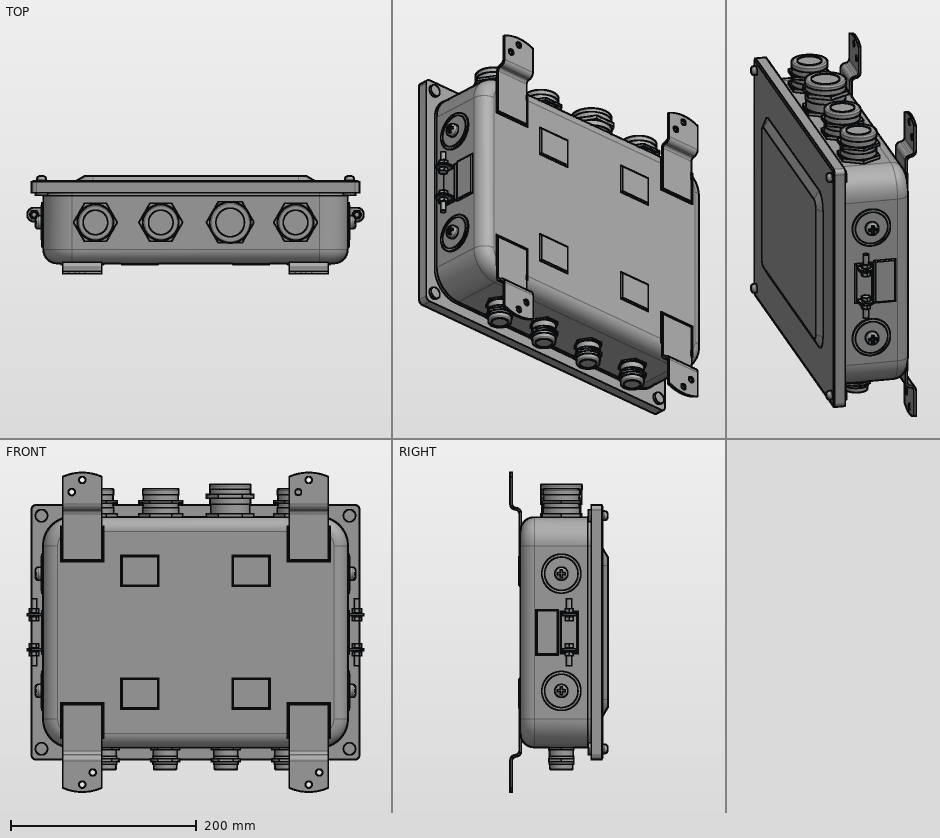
import cadquery as cq
import math

BODY_X, BODY_Z = 328.0, 248.3
BODY_BACK, BODY_FRONT = 34.5, -41.7
BODY_CORNER_R, BODY_EDGE_R = 31.0, 15.2
RIM_LIP, RIM_H = 0.5, 3.3

LID_X, LID_Z, LID_T = 353.5, 274.5, 12.7
LID_CORNER_R = 5.0
LID_EDGE_H = 2.5
LID_EDGE_INSET = 1.0
LID_TOP = BODY_BACK + LID_T

Y_MAX = 52.8
PANEL_X, PANEL_Z, PANEL_CORNER_R = 257.7, 180.8, 18.0
PANEL_INSET = 9.8

LID_BOLT_X, LID_BOLT_Z = 166.0, 125.5
LID_BOLT_HEAD_D, LID_BOLT_HEAD_H = 10.0, 5.5
LID_NUT_D, LID_NUT_H = 13.0, 3.0

BRACKET_X = 122.0
BRACKET_W, BRACKET_T = 42.0, 2.5
BRACKET_LOW, BRACKET_TIP, BRACKET_SHOULDER = 78.0, 172.25, 167.7
BRACKET_IN_Y, BRACKET_OUT_Y = -40.47, -50.28
JOGGLE_LOW, JOGGLE_HIGH = 131.8, 134.3
BEND_R = 3.8
BRACKET_HOLE_D = 7.0
TIP_HOLE_Z = 164.0
SIDE_HOLE_X, SIDE_HOLE_Z = -11.3, 151.0
WELD_W, WELD_H, WELD_TOP = 2.0, 1.0, 114.0

PAD_X, PAD_Z, PAD_W, PAD_H = 60.0, 66.0, 41.0, 33.5
PAD_T, PAD_BEVEL = 1.5, 1.5

GLAND_Y = 2.5
GLAND_EDGE_R, MOUTH_DEPTH = 1.8, 0.7
DISC_Z, DISC_D, DISC_T = 63.0, 42.0, 1.5
DISC_FACE_D, DISC_FACE_T = 36.0, 1.8
SCREW_D, SCREW_TOP, SCREW_EDGE_R = 14.0, 8.5, 3.3
CROSS_L, CROSS_W, CROSS_DEPTH = 8.7, 2.0, 2.0
NAMEPLATE_Y, NAMEPLATE_W, NAMEPLATE_H = -12.7, 24.5, 49.0
EARTH_Y = 11.0
EARTH_BASE_W, EARTH_BASE_H = 19.5, 45.7
EAR_Z, EAR_T, EAR_R, EAR_X = 19.0, 2.0, 7.5, 174.0
STUD_D, STUD_TOP, STUD_LOW = 5.8, 36.3, 12.5
STUD_NUT_D, STUD_NUT_H = 10.0, 4.5


def plate_xz(width, height, y_from, y_to):
    """Rectangular block centred on the Y axis."""
    return cq.Workplane("XY").box(width, abs(y_to - y_from), height).translate((0, (y_from + y_to) / 2, 0))


def rod_y(diameter, y_from, y_to):
    """Cylinder on the Y axis that runs in +Y from y_from."""
    return cq.Workplane("XZ", origin=(0, y_from, 0)).circle(diameter / 2).extrude(y_from - y_to)


def rod_z(diameter, z_from, z_to):
    return cq.Workplane("XY", origin=(0, 0, z_from)).circle(diameter / 2).extrude(z_to - z_from)


def hex_z(corners, z_from, z_to):
    return cq.Workplane("XY", origin=(0, 0, z_from)).polygon(6, corners).extrude(z_to - z_from)


def bevelled_plate(plane, width, height):
    """Thin plate with sloped sides that stands on the given plane."""
    slope = math.degrees(math.atan(PAD_BEVEL / PAD_T))
    return cq.Workplane(plane).rect(width, height).extrude(PAD_T, taper=slope)


def quadrants(shape, x, z):
    """Copies of a shape at the four corners of a rectangle."""
    return [shape.translate((sx * x, 0, sz * z)) for sx in (-1, 1) for sz in (-1, 1)]


def make_body():
    body = plate_xz(BODY_X, BODY_Z, BODY_FRONT, BODY_BACK)
    body = body.edges("|Y").fillet(BODY_CORNER_R).faces("<Y").edges().fillet(BODY_EDGE_R)
    rim = plate_xz(BODY_X + 2 * RIM_LIP, BODY_Z + 2 * RIM_LIP, BODY_BACK - RIM_H, BODY_BACK)
    return body.union(rim.edges("|Y").fillet(BODY_CORNER_R + RIM_LIP))


def make_lid():
    lid = plate_xz(LID_X, LID_Z, BODY_BACK, LID_TOP).edges("|Y").fillet(LID_CORNER_R)
    lid = lid.faces(">Y").chamfer(LID_EDGE_H, LID_EDGE_INSET)
    rise = Y_MAX - LID_TOP
    panel = (
        cq.Workplane("XZ", origin=(0, LID_TOP, 0))
        .sketch().rect(PANEL_X, PANEL_Z).vertices().fillet(PANEL_CORNER_R).finalize()
        .extrude(-rise, taper=math.degrees(math.atan(PANEL_INSET / rise)))
    )
    return lid.union(panel)


def lid_bolts():
    head = rod_y(LID_BOLT_HEAD_D, LID_TOP, LID_TOP + LID_BOLT_HEAD_H).faces(">Y").edges().fillet(3.5)
    nut = rod_y(LID_NUT_D, BODY_BACK - LID_NUT_H, BODY_BACK)
    return quadrants(head, LID_BOLT_X, LID_BOLT_Z) + quadrants(nut, LID_BOLT_X, LID_BOLT_Z)


def make_bracket():
    """Upper bracket: stepped strip with a rounded tip, two holes and a weld bead."""
    turn = math.atan2(BRACKET_IN_Y - BRACKET_OUT_Y, JOGGLE_HIGH - JOGGLE_LOW)
    half_miter = BRACKET_T * math.tan(turn / 2) / 2
    outer_r = BEND_R + BRACKET_T
    back_y, front_y = BRACKET_IN_Y - BRACKET_T, BRACKET_OUT_Y - BRACKET_T
    bends = [
        (BRACKET_IN_Y, JOGGLE_LOW + half_miter, outer_r),
        (BRACKET_OUT_Y, JOGGLE_HIGH + half_miter, BEND_R),
        (front_y, JOGGLE_HIGH - half_miter, outer_r),
        (back_y, JOGGLE_LOW - half_miter, BEND_R),
    ]
    corners = [(y, z) for y, z, _ in bends]
    tip = [(BRACKET_OUT_Y, BRACKET_TIP), (front_y, BRACKET_TIP)]
    foot = [(back_y, BRACKET_LOW), (BRACKET_IN_Y, BRACKET_LOW)]
    strip = cq.Workplane("YZ").polyline(corners[:2] + tip + corners[2:] + foot).close()
    strip = strip.extrude(BRACKET_W / 2, both=True)
    for y, z, radius in bends:
        strip = strip.edges(cq.NearestToPointSelector((0, y, z))).fillet(radius)
    outline = (
        cq.Workplane("XZ")
        .moveTo(-BRACKET_W / 2, BRACKET_LOW)
        .lineTo(-BRACKET_W / 2, BRACKET_SHOULDER)
        .threePointArc((0, BRACKET_TIP), (BRACKET_W / 2, BRACKET_SHOULDER))
        .lineTo(BRACKET_W / 2, BRACKET_LOW)
        .close()
        .extrude(-front_y)
    )
    holes = (
        cq.Workplane("XZ")
        .pushPoints([(0, TIP_HOLE_Z), (SIDE_HOLE_X, SIDE_HOLE_Z)])
        .circle(BRACKET_HOLE_D / 2).extrude(-front_y)
    )
    weld_low = BRACKET_LOW - WELD_W
    weld = (
        cq.Workplane("XZ", origin=(0, BODY_FRONT, (WELD_TOP + weld_low) / 2))
        .rect(BRACKET_W + 2 * WELD_W, WELD_TOP - weld_low).extrude(WELD_H)
        .faces("<Y").chamfer(WELD_H * 0.6)
    )
    return strip.intersect(outline).cut(holes).union(weld)


def brackets():
    upper = make_bracket()
    lower = upper.rotate((0, 0, 0), (0, 1, 0), 180)
    return [b.translate((sx * BRACKET_X, 0, 0)) for b in (upper, lower) for sx in (-1, 1)]


def back_pads():
    pad = bevelled_plate("XZ", PAD_W, PAD_H).translate((0, BODY_FRONT, 0))
    return quadrants(pad, PAD_X, PAD_Z)


def gland(hex_d, base_h, steps, nut_low, nut_high, mouth_d):
    """Cable gland standing on z = 0; steps lists (diameter, top height) from the base up."""
    body = hex_z(hex_d, 0, base_h).union(hex_z(hex_d, nut_low, nut_high))
    low = 0
    for diameter, top in steps:
        body = body.union(rod_z(diameter, low, top))
        low = top
    body = body.faces(">Z").edges().fillet(GLAND_EDGE_R)
    return body.cut(rod_z(mouth_d, low - MOUTH_DEPTH, low))


def glands():
    medium = gland(47.2, 3.5, [(39.2, 9.8), (38.0, 24.0), (39.2, 30.5)], 15.0, 17.8, 26.5)
    large = gland(51.2, 3.5, [(42.0, 13.8), (44.0, 30.0), (44.5, 35.5)], 20.0, 24.5, 31.0)
    small = gland(31.2, 2.0, [(25.8, 9.5), (26.5, 18.0), (25.0, 24.0)], 12.5, 15.2, 18.0).mirror("XY")
    top = [medium.translate((x, GLAND_Y, BODY_Z / 2)) for x in (-107.8, -37.5, 107.8)]
    top.append(large.translate((37.5, GLAND_Y, BODY_Z / 2)))
    bottom = [small.translate((x, GLAND_Y, -BODY_Z / 2)) for x in (-98, -32.5, 32.5, 98)]
    return top + bottom


def wall_plate(width, height):
    """Bevelled plate on the -X wall."""
    return bevelled_plate("ZY", height, width).translate((-BODY_X / 2, 0, 0))


def side_disc():
    wall = cq.Workplane("YZ", origin=(-BODY_X / 2, GLAND_Y, 0))
    disc = wall.circle(DISC_D / 2).extrude(-DISC_T)
    disc = disc.union(wall.circle(DISC_FACE_D / 2).extrude(-DISC_FACE_T))
    screw = wall.circle(SCREW_D / 2).extrude(-SCREW_TOP).faces("<X").edges().fillet(SCREW_EDGE_R)
    recess_floor = wall.workplane(offset=CROSS_DEPTH - SCREW_TOP)
    for length_y, length_z in ((CROSS_L, CROSS_W), (CROSS_W, CROSS_L)):
        screw = screw.cut(recess_floor.rect(length_y, length_z).extrude(-CROSS_DEPTH))
    return disc.union(screw)


def earth_ear():
    """Ear with its stud and nuts on the upper end of the earthing bracket."""
    ear = (
        cq.Workplane("XY", origin=(-EAR_X, EARTH_Y, EAR_Z - EAR_T / 2))
        .circle(EAR_R).extrude(EAR_T)
        .union(
            cq.Workplane("XY").box(EAR_X - BODY_X / 2, 2 * EAR_R, EAR_T)
            .translate((-(EAR_X + BODY_X / 2) / 2, EARTH_Y, EAR_Z))
        )
    )
    stud = rod_z(STUD_D, STUD_LOW, STUD_TOP)
    stud = stud.union(hex_z(STUD_NUT_D, EAR_Z + 2.0, EAR_Z + 2.0 + STUD_NUT_H))
    stud = stud.union(hex_z(STUD_NUT_D, STUD_LOW, STUD_LOW + STUD_NUT_H))
    return ear.union(stud.translate((-EAR_X, EARTH_Y, 0)))


def side_hardware():
    parts = [
        wall_plate(NAMEPLATE_W, NAMEPLATE_H).translate((0, NAMEPLATE_Y, 0)),
        wall_plate(EARTH_BASE_W, EARTH_BASE_H).translate((0, EARTH_Y, 0)),
    ]
    parts += [side_disc().translate((0, 0, s * DISC_Z)) for s in (-1, 1)]
    parts += [earth_ear(), earth_ear().mirror("XY")]
    return parts + [p.mirror("YZ") for p in parts]


result = make_body().union(make_lid())
for feature in lid_bolts() + brackets() + back_pads() + glands() + side_hardware():
    result = result.union(feature)